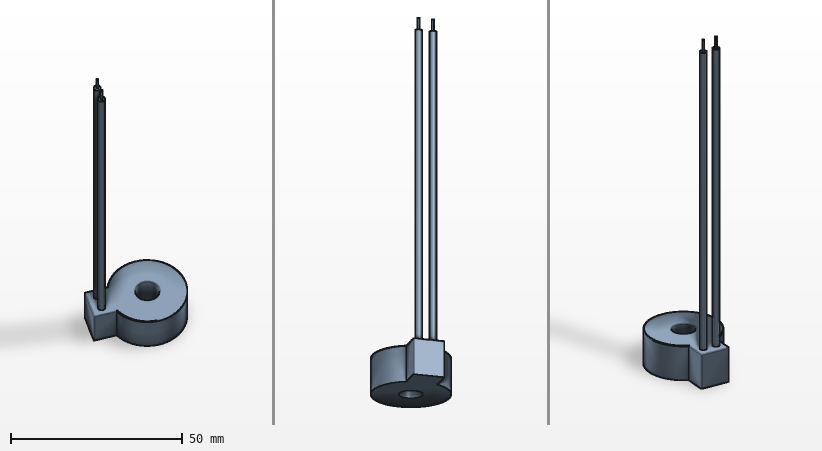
import cadquery as cq

housing_diameter = 23.5
bore_diameter = 7.0
housing_height = 11.2
edge_radius = 0.25

overall_length = 29.5
block_width = 9.5
block_end_y = housing_diameter / 2 - overall_length

overall_height = 111.05
wire_spacing = 4.35
wire_y = -14.6
insulation_diameter = 2.1
conductor_diameter = 0.7
stripped_length = 3.8


def make_housing():
    """Disc with terminal block and through bore; top edges and outer block corners are rounded."""
    disc = cq.Workplane("XY").circle(housing_diameter / 2).extrude(housing_height)
    block = (
        cq.Workplane("XY")
        .center(0, block_end_y / 2)
        .rect(block_width, -block_end_y)
        .extrude(housing_height)
    )
    body = disc.union(block)
    body = body.faces("<Y").edges("|Z").fillet(edge_radius)
    bore = cq.Workplane("XY").circle(bore_diameter / 2).extrude(housing_height)
    body = body.cut(bore)
    return body.faces(">Z").edges().fillet(edge_radius)


def make_wire(x):
    """Insulated lead with a bare conductor at its upper end."""
    insulation_top = overall_height - stripped_length
    insulation = (
        cq.Workplane("XY", origin=(x, wire_y, housing_height))
        .circle(insulation_diameter / 2)
        .extrude(insulation_top - housing_height)
    )
    conductor = (
        cq.Workplane("XY", origin=(x, wire_y, insulation_top))
        .circle(conductor_diameter / 2)
        .extrude(stripped_length)
    )
    return insulation.union(conductor)


result = make_housing()
for wire_x in (-wire_spacing / 2, wire_spacing / 2):
    result = result.union(make_wire(wire_x))